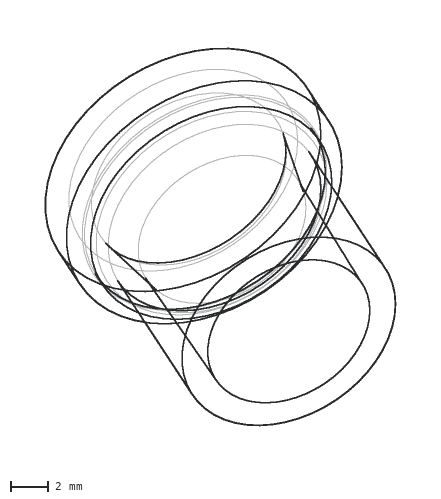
import cadquery as cq
import math

length = 15.0
flange_radius = 16 / 2
flange_thickness = 3.0

shoulder_radius = 14.0 / 2
shoulder_width = 1.0
shoulder_end = flange_thickness + shoulder_width
shoulder_fillet = 0.1
tube_radius = 12.4 / 2
tube_fillet = 0.5

mouth_radius = 6.64
mouth_round = 1.0
entry_angle = math.radians(10)
entry_depth = 5.5
taper_angle = math.radians(1)
exit_radius = 9.4 / 2
throat_radius = exit_radius + (length - entry_depth) * math.tan(taper_angle)


def arc_point(center, radius, angle):
    """Point on a circle in the half-section plane (X, radius)."""
    return (
        center[0] + radius * math.cos(angle),
        center[1] + radius * math.sin(angle),
    )


def add_corner_fillet(profile, face_x, cylinder_radius, fillet):
    """Draw the concave arc from a rear face down to the cylinder behind it."""
    center = (face_x + fillet, cylinder_radius + fillet)
    middle = arc_point(center, fillet, math.radians(225))
    return (
        profile.lineTo(face_x, cylinder_radius + fillet)
        .threePointArc(middle, (face_x + fillet, cylinder_radius))
    )


profile = cq.Workplane("XY").moveTo(0, mouth_radius)
profile = profile.lineTo(0, flange_radius).lineTo(flange_thickness, flange_radius)
profile = add_corner_fillet(profile, flange_thickness, shoulder_radius, shoulder_fillet)
profile = profile.lineTo(shoulder_end, shoulder_radius)
profile = add_corner_fillet(profile, shoulder_end, tube_radius, tube_fillet)
profile = profile.lineTo(length, tube_radius)

mouth_center = (mouth_round, mouth_radius)
round_start = math.pi
round_end = 1.5 * math.pi - entry_angle
round_middle = (round_start + round_end) / 2
profile = (
    profile.lineTo(length, exit_radius)
    .lineTo(entry_depth, throat_radius)
    .lineTo(*arc_point(mouth_center, mouth_round, round_end))
    .threePointArc(arc_point(mouth_center, mouth_round, round_middle), (0, mouth_radius))
    .close()
)

result = profile.revolve(360, (0, 0, 0), (1, 0, 0))